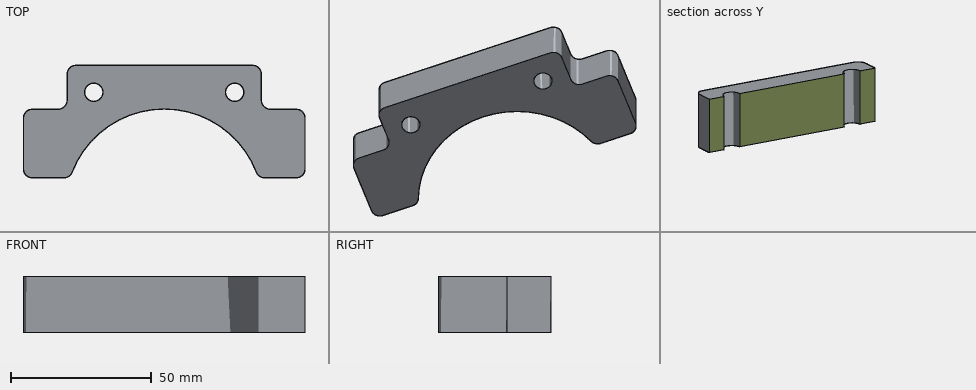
import cadquery as cq

length = 100.0
depth = 40.0
thickness = 20.0

bridge_length = 69.0
foot_depth = 24.4
corner_radius = 3.2

saddle_radius = 35.0
saddle_center_y = foot_depth - saddle_radius

hole_diameter = 6.4
hole_spacing = 50.0
hole_y = 30.4


def make_block():
    """Stepped plate, with its front face at Y = 0 and its base at Z = 0."""
    feet = cq.Workplane("XY").box(length, foot_depth, thickness, centered=(True, False, False))
    bridge = cq.Workplane("XY").box(bridge_length, depth, thickness, centered=(True, False, False))
    return feet.union(bridge)


def cut_saddle(body):
    """Remove the round seat from the front of the block."""
    saddle = cq.Workplane("XY").center(0, saddle_center_y).circle(saddle_radius).extrude(thickness)
    return body.cut(saddle)


def drill_holes(body):
    """Drill the two mounting holes right through."""
    centers = [(side * hole_spacing / 2, hole_y) for side in (-1, 1)]
    holes = cq.Workplane("XY").pushPoints(centers).circle(hole_diameter / 2).extrude(thickness)
    return body.cut(holes)


saddled_block = cut_saddle(make_block())
rounded_block = saddled_block.edges("|Z").fillet(corner_radius)
result = drill_holes(rounded_block)